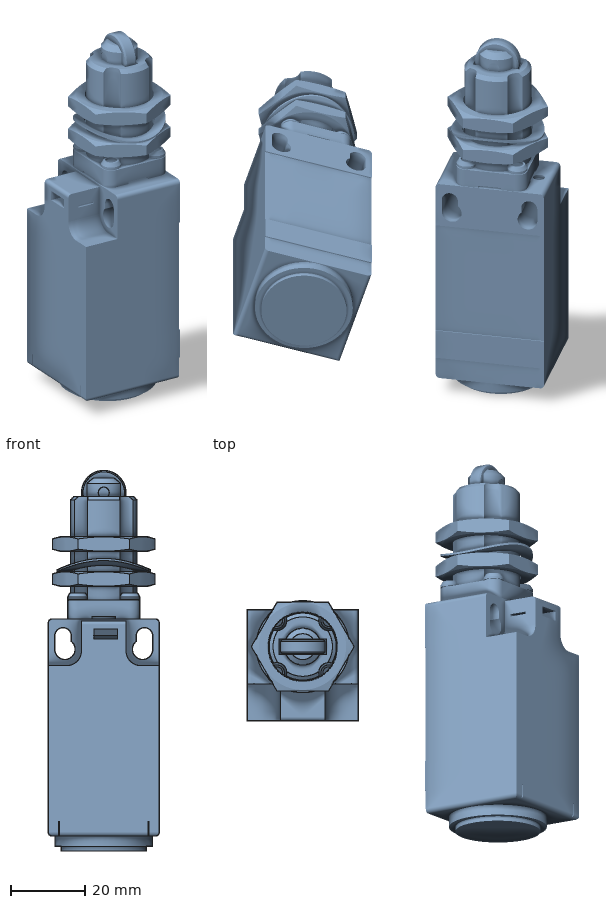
import cadquery as cq
import math


housing_width = 30.0
housing_front_y = -20.0
housing_back_y = 10.0
housing_bottom_z = 4.0
housing_top_z = 62.6
housing_edge_radius = 1.1
back_pad_height = 0.3
back_pads = [(50.1, housing_top_z), (10.2, 18.4)]

notch_step_y = -10.1
notch_floor_z = 50.0
notch_radius = 4.0
tab_width = 12.0
tab_top_z = 62.0
tab_edge_radius = 1.0

window_center_x = 0.5
window_width = 6.4
window_bottom_z = 57.2
window_top_z = 59.9
window_depth = 8.1
window_ramp = 0.9
cross_slot_length = 4.8
cross_slot_bottom_z = 57.5
cross_slot_height = 0.6

keyhole_large_dia = 5.4
keyhole_large_x = 10.5
keyhole_large_z = 54.4
keyhole_small_dia = 4.4
keyhole_small_x = 11.0
keyhole_small_z = 58.0

top_hole_dia = 3.2
top_hole_x = -11.4
top_hole_y = 0.0
top_hole_depth = 1.0

tongue_width = 24.2
tongue_top_z = 8.0
tongue_groove = 0.3

entry_center_y = -3.7
entry_flange_dia = 26.4
entry_flange_bottom_z = 1.2
entry_tip_dia = 23.0

foot_size = 19.5
foot_top_z = 67.7
corner_dia = 5.4
corner_offset = foot_size / 2 - corner_dia / 2
screw_neck_dia = 4.8
screw_neck_height = 0.3
screw_rim_top_z = 68.6
screw_top_dia = 4.2
screw_top_z = 69.6
screw_socket_dia = 3.2
screw_socket_depth = 0.5
foot_post_dia = 6.3
foot_slot_height = 0.6
stem_dia = 18.1
stem_top_z = 95.7
stem_chamfer_height = 1.0
stem_chamfer_width = 1.0

roller_dia = 12.0
roller_width = 3.6
roller_chamfer = 0.4
roller_top_z = 102.7
roller_axis_z = roller_top_z - roller_dia / 2
roller_slot_dia = 13.0
roller_slot_width = 4.2
plunger_dia = 10.0
plunger_shoulder_z = 99.2
plunger_top_z = 100.6
plunger_top_dia = 7.0
axle_dia = 3.0
axle_length = 9.4

nut_across_flats = 24.0
nut_height = 4.0
nut_face_dia = 23.5
nut_chamfer_height = 0.6
nut_bore = 18.6
lower_nut_z = 71.4
upper_nut_z = 80.8

washer_length_x = 25.3
washer_length_y = 24.9
washer_bore = 19.0
washer_thickness = 0.5
washer_rise = 3.0
washer_bottom_z = lower_nut_z + nut_height


def box(x_range, y_range, z_range):
    """Axis-aligned box between the given limits."""
    size = [high - low for low, high in (x_range, y_range, z_range)]
    corner = (x_range[0], y_range[0], z_range[0])
    return cq.Workplane("XY").box(*size, centered=False).translate(corner)


def upright_cylinder(diameter, bottom_z, top_z, x=0.0, y=0.0):
    """Cylinder along Z."""
    return cq.Workplane("XY", origin=(x, y, bottom_z)).circle(diameter / 2).extrude(top_z - bottom_z)


def cylinder_along_y(diameter, length, z):
    """Cylinder along Y, centred on the plunger axis."""
    return cq.Workplane("XZ", origin=(0, 0, z)).circle(diameter / 2).extrude(length / 2, both=True)


def turned(points):
    """Solid of revolution about Z from (radius, z) points."""
    return cq.Workplane("XZ").polyline(points).close().revolve(360, (0, 0), (0, 1))


def make_housing():
    half = housing_width / 2
    shell_back_y = housing_back_y - back_pad_height
    housing = box((-half, half), (housing_front_y, shell_back_y), (housing_bottom_z, housing_top_z))
    for pad_bottom_z, pad_top_z in back_pads:
        housing = housing.union(box((-half, half), (shell_back_y, housing_back_y), (pad_bottom_z, pad_top_z)))
    housing = housing.edges("|Y and (<X or >X) and >Z").fillet(housing_edge_radius)
    housing = housing.edges("<Z and (<X or >X or <Y)").fillet(housing_edge_radius)

    notch_depth = notch_step_y - housing_front_y
    for side in (-1, 1):
        tab_side_x = side * tab_width / 2
        round_end_x = tab_side_x + side * notch_radius
        round_middle = notch_radius * (1 - math.sqrt(0.5))
        notch = (
            cq.Workplane("XZ", origin=(0, notch_step_y, 0))
            .moveTo(tab_side_x, housing_top_z)
            .lineTo(tab_side_x, notch_floor_z + notch_radius)
            .threePointArc(
                (tab_side_x + side * round_middle, notch_floor_z + round_middle),
                (round_end_x, notch_floor_z),
            )
            .lineTo(side * half, notch_floor_z)
            .lineTo(side * half, housing_top_z)
            .close()
            .extrude(notch_depth)
        )
        housing = housing.cut(notch)
    housing = housing.cut(
        box((-tab_width / 2, tab_width / 2), (housing_front_y, notch_step_y), (tab_top_z, housing_top_z))
    )
    tab_front_edge = cq.selectors.NearestToPointSelector((0, housing_front_y, tab_top_z))
    housing = housing.edges(tab_front_edge).fillet(tab_edge_radius)

    window_end_y = housing_front_y + window_depth
    window_x = (window_center_x - window_width / 2, window_center_x + window_width / 2)
    housing = housing.cut(box(window_x, (housing_front_y, window_end_y), (window_bottom_z, window_top_z)))
    ramp = (
        cq.Workplane("YZ", origin=(window_x[0], 0, 0))
        .polyline([
            (window_end_y, window_bottom_z),
            (window_end_y, window_bottom_z + window_ramp),
            (window_end_y + window_ramp, window_bottom_z),
        ])
        .close()
        .extrude(window_width)
    )
    housing = housing.cut(ramp)
    cross_slot_z = (cross_slot_bottom_z, cross_slot_bottom_z + cross_slot_height)
    cross_slot_y = (window_end_y - cross_slot_length, window_end_y)
    housing = housing.cut(box((-tab_width / 2, tab_width / 2), cross_slot_y, cross_slot_z))

    for side in (-1, 1):
        housing = housing.cut(make_keyhole(side))

    top_hole_bottom_z = housing_top_z - top_hole_depth
    housing = housing.cut(
        upright_cylinder(top_hole_dia, top_hole_bottom_z, housing_top_z, top_hole_x, top_hole_y)
    )

    for side in (-1, 1):
        groove_x = side * tongue_width / 2
        housing = housing.cut(
            box(
                (groove_x - tongue_groove / 2, groove_x + tongue_groove / 2),
                (housing_front_y, housing_front_y + tongue_groove),
                (housing_bottom_z, tongue_top_z),
            )
        )

    flange = upright_cylinder(entry_flange_dia, entry_flange_bottom_z, housing_bottom_z, y=entry_center_y)
    tip = upright_cylinder(entry_tip_dia, 0, entry_flange_bottom_z, y=entry_center_y)
    return housing.union(flange).union(tip)


def make_keyhole(side):
    """Cutter for one keyhole: a round hole with a narrower slot rising from it."""
    depth = housing_back_y - notch_step_y
    plane = cq.Workplane("XZ", origin=(0, housing_back_y, 0))
    large = plane.center(side * keyhole_large_x, keyhole_large_z).circle(keyhole_large_dia / 2).extrude(depth)
    small = plane.center(side * keyhole_small_x, keyhole_small_z).circle(keyhole_small_dia / 2).extrude(depth)
    slot_x = side * keyhole_small_x
    slot = box(
        (slot_x - keyhole_small_dia / 2, slot_x + keyhole_small_dia / 2),
        (notch_step_y, housing_back_y),
        (keyhole_large_z, keyhole_small_z),
    )
    return large.union(small).union(slot)


def make_head():
    half = foot_size / 2
    foot = box((-half, half), (-half, half), (housing_top_z, foot_top_z)).edges("|Z").fillet(corner_dia / 2)

    slot_half = foot_post_dia / 2
    slot_z = (housing_top_z, housing_top_z + foot_slot_height)
    foot = foot.cut(box((-slot_half, slot_half), (-half, half), slot_z))
    foot = foot.cut(box((-half, half), (-slot_half, slot_half), slot_z))
    foot = foot.union(upright_cylinder(foot_post_dia, *slot_z))

    radius = stem_dia / 2
    stem_bottom_z = housing_top_z + foot_slot_height
    stem = turned([
        (0, stem_bottom_z),
        (radius, stem_bottom_z),
        (radius, stem_top_z - stem_chamfer_height),
        (radius - stem_chamfer_width, stem_top_z),
        (0, stem_top_z),
    ])
    screw = turned([
        (0, foot_top_z),
        (screw_neck_dia / 2, foot_top_z),
        (screw_neck_dia / 2, foot_top_z + screw_neck_height),
        (corner_dia / 2, foot_top_z + screw_neck_height),
        (corner_dia / 2, screw_rim_top_z),
        (screw_top_dia / 2, screw_top_z),
        (screw_socket_dia / 2, screw_top_z),
        (screw_socket_dia / 2, screw_top_z - screw_socket_depth),
        (0, screw_top_z - screw_socket_depth),
    ])

    corners = [(sx * corner_offset, sy * corner_offset) for sx in (-1, 1) for sy in (-1, 1)]
    for x, y in corners:
        stem = stem.cut(upright_cylinder(corner_dia, foot_top_z, stem_top_z, x, y))
    head = foot.union(stem)
    for x, y in corners:
        head = head.union(screw.translate((x, y, 0)))
    return head


def add_plunger(head):
    plunger = turned([
        (0, foot_top_z),
        (plunger_dia / 2, foot_top_z),
        (plunger_dia / 2, plunger_shoulder_z),
        (plunger_top_dia / 2, plunger_top_z),
        (0, plunger_top_z),
    ])
    axle = cylinder_along_y(axle_dia, axle_length, roller_axis_z)
    axle_hole = cylinder_along_y(axle_dia, plunger_dia, roller_axis_z)
    above_stem = box((-axle_dia, axle_dia), (-plunger_dia, plunger_dia), (stem_top_z, plunger_top_z))
    roller_slot = cylinder_along_y(roller_slot_dia, roller_slot_width, roller_axis_z)
    roller = cylinder_along_y(roller_dia, roller_width, roller_axis_z).edges().chamfer(roller_chamfer)
    head = head.union(plunger).cut(axle_hole.intersect(above_stem)).cut(roller_slot)
    return head.union(axle).union(roller)


def make_nut(bottom_z):
    across_corners = nut_across_flats / math.cos(math.pi / 6)
    nut = cq.Workplane("XY").polygon(6, across_corners).extrude(nut_height)
    face_radius = nut_face_dia / 2
    corner_radius = across_corners / 2
    chamfer_envelope = turned([
        (0, 0),
        (face_radius, 0),
        (corner_radius, nut_chamfer_height),
        (corner_radius, nut_height - nut_chamfer_height),
        (face_radius, nut_height),
        (0, nut_height),
    ])
    bore = upright_cylinder(nut_bore, 0, nut_height)
    return nut.intersect(chamfer_envelope).cut(bore).translate((0, 0, bottom_z))


def make_washer():
    """Flat ring bent about X, so that it rests on X and rises toward both Y ends."""
    half_y = washer_length_y / 2
    bend_radius = (half_y ** 2 + washer_rise ** 2) / (2 * washer_rise)
    bend_center_z = washer_bottom_z + bend_radius
    sheet = (
        cq.Workplane("YZ", origin=(-washer_length_x / 2, 0, 0))
        .center(0, bend_center_z)
        .circle(bend_radius)
        .circle(bend_radius - washer_thickness)
        .extrude(washer_length_x)
    )
    ring = (
        cq.Workplane("XY", origin=(0, 0, washer_bottom_z))
        .ellipse(washer_length_x / 2, half_y)
        .circle(washer_bore / 2)
        .extrude(2 * washer_rise)
    )
    return sheet.intersect(ring)


limit_switch = add_plunger(make_housing().union(make_head()))
nuts = [make_nut(bottom_z) for bottom_z in (lower_nut_z, upper_nut_z)]
washer = make_washer()

result = cq.Compound.makeCompound([limit_switch.val(), *[nut.val() for nut in nuts], washer.val()])